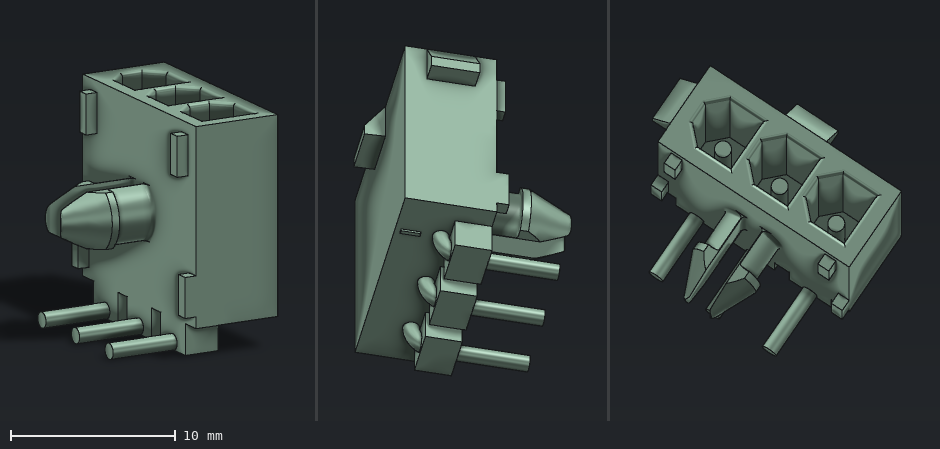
import cadquery as cq
import math


circuits = 3
pitch = 4.14
housing_width = 13.99
housing_depth = 5.7
housing_height = 12.7
mid_depth = housing_depth / 2

cavity_size = 3.5
cavity_corner = 1.07
cavity_depth = 10.7
mouth_round = 0.25
cavity_floor = housing_height - cavity_depth

foot_width = 3.07
foot_depth = 2.3
foot_height = 2.01

pin_diameter = 1.03
pin_radius = pin_diameter / 2
pin_bend_radius = foot_height - pin_radius
pin_rise = 5.0
pin_tail = 4.45

latch_width = 3.0
latch_reach = 1.3
latch_slope_height = 1.82
latch_outer_height = 2.57
latch_inner_height = 2.5

rib_width = 0.8
rib_length = 2.58
rib_reach = 0.76
rib_end_gap = 0.74
upper_rib_inset = 0.98

mark_width = 0.25
mark_length = 1.22
mark_height = 0.15
mark_back_gap = 0.36

peg_height = 5.87
peg_length = 6.0
peg_flat_height = 3.56
peg_slot_width = 1.48
shaft_radius = 1.94
root_round = 0.25
collar_radius = 2.32
collar_start = 2.68
collar_end = 3.19
collar_round = 0.12
cone_half_angle = math.radians(23.7)
tip_round = 0.25

arc_sag = 1 - math.sqrt(0.5)

pin_positions = [(i - (circuits - 1) / 2) * pitch for i in range(circuits)]


def block(x_start, y_start, z_start, width, depth, height):
    """Box given by its lowest corner and its size."""
    return cq.Workplane("XY").box(width, depth, height, centered=False).translate((x_start, y_start, z_start))


def make_housing():
    return block(-housing_width / 2, 0, 0, housing_width, housing_depth, housing_height)


def make_cavity(x):
    """Square pocket with its two left corners cut off."""
    half = cavity_size / 2
    straight = half - cavity_corner
    outline = [
        (half, -half),
        (half, half),
        (-straight, half),
        (-half, straight),
        (-half, -straight),
        (-straight, -half),
    ]
    sketch = cq.Workplane("XY", origin=(x, mid_depth, cavity_floor)).polyline(outline).close()
    return sketch.extrude(cavity_depth)


def cut_cavities(body):
    """Sink one cavity per circuit and round all the mouths."""
    for x in pin_positions:
        body = body.cut(make_cavity(x))
    mouths = body.faces(">Z").val().innerWires()
    mouth_edges = [edge for mouth in mouths for edge in mouth.Edges()]
    return body.newObject(mouth_edges).fillet(mouth_round)


def make_foot(x):
    return block(x - foot_width / 2, 0, -foot_height, foot_width, foot_depth, foot_height)


def make_pin(x):
    """Round wire rising in the cavity, bent once and leaving through the foot."""
    path = (
        cq.Workplane("YZ", origin=(x, 0, 0))
        .moveTo(mid_depth, cavity_floor + pin_rise)
        .lineTo(mid_depth, 0)
        .threePointArc(
            (mid_depth - pin_bend_radius * arc_sag, -pin_bend_radius * (1 - arc_sag)),
            (mid_depth - pin_bend_radius, -pin_bend_radius),
        )
        .lineTo(-pin_tail, -pin_bend_radius)
    )
    start = cq.Workplane("XY", origin=(x, mid_depth, cavity_floor + pin_rise))
    return start.circle(pin_radius).sweep(path)


def make_latch(plane, face_position, outward, middle):
    """Wedge hanging from the top edge of a side face."""
    tip = face_position + outward * latch_reach
    outline = [
        (face_position, housing_height),
        (tip, housing_height - latch_slope_height),
        (tip, housing_height - latch_outer_height),
        (face_position, housing_height - latch_inner_height),
    ]
    return cq.Workplane(plane, origin=middle).polyline(outline).close().extrude(latch_width / 2, both=True)


def make_ribs():
    """One upper, inset rib and one lower, flush rib on each side."""
    upper_start = housing_height - rib_end_gap - rib_length
    ribs = []
    for inset, z_start in ((upper_rib_inset, upper_start), (0, rib_end_gap)):
        left = -housing_width / 2 + inset
        for x_start in (left, -left - rib_width):
            ribs.append(block(x_start, -rib_reach, z_start, rib_width, rib_reach, rib_length))
    return ribs


def make_mark():
    y_start = housing_depth - mark_back_gap - mark_length
    x_start = pin_positions[0] - mark_width / 2
    return block(x_start, y_start, -mark_height, mark_width, mark_length, mark_height)


def make_peg_solid():
    """Turned peg: flared root, shaft, collar and a blunt cone with a rounded end."""
    tip_radius = collar_radius - (peg_length - collar_end) * math.tan(cone_half_angle)
    tip_setback = tip_round * math.tan((math.pi / 2 - cone_half_angle) / 2)
    tip_centre = (tip_radius - tip_setback, -peg_length + tip_round)
    cone_end = (
        tip_centre[0] + tip_round * math.cos(cone_half_angle),
        tip_centre[1] - tip_round * math.sin(cone_half_angle),
    )
    round_angle = (math.pi / 2 + cone_half_angle) / 2
    round_middle = (
        tip_centre[0] + tip_round * math.cos(round_angle),
        tip_centre[1] - tip_round * math.sin(round_angle),
    )
    profile = (
        cq.Workplane("XY")
        .lineTo(shaft_radius + root_round, 0)
        .threePointArc(
            (shaft_radius + root_round * arc_sag, -root_round * arc_sag),
            (shaft_radius, -root_round),
        )
        .lineTo(shaft_radius, -collar_start + collar_round)
        .threePointArc(
            (shaft_radius + collar_round * arc_sag, -collar_start + collar_round * arc_sag),
            (shaft_radius + collar_round, -collar_start),
        )
        .lineTo(collar_radius, -collar_start)
        .lineTo(collar_radius, -collar_end)
        .lineTo(*cone_end)
        .threePointArc(round_middle, (tip_centre[0], -peg_length))
        .lineTo(0, -peg_length)
        .close()
    )
    return profile.revolve(360, (0, 0), (0, 1))


def make_peg_slot():
    """Slot between the two prongs, narrowing at the root and flaring at the tip."""
    half = peg_slot_width / 2
    profile = (
        cq.Workplane("XY")
        .lineTo(half - root_round, 0)
        .threePointArc((half - root_round * arc_sag, -root_round * arc_sag), (half, -root_round))
        .lineTo(half, -peg_length + tip_round)
        .threePointArc(
            (half + tip_round * arc_sag, -peg_length + tip_round * arc_sag),
            (half + tip_round, -peg_length),
        )
        .lineTo(0, -peg_length)
        .close()
    )
    right_half = profile.extrude(peg_flat_height, both=True)
    return right_half.union(right_half.mirror("YZ"))


def make_peg():
    """Split peg with flat top and bottom, leaving the board-side face."""
    flats = block(
        -collar_radius, -peg_length, -peg_flat_height / 2, 2 * collar_radius, peg_length, peg_flat_height
    )
    peg = make_peg_solid().intersect(flats).cut(make_peg_slot())
    return peg.translate((0, 0, peg_height))


body = cut_cavities(make_housing())
for pin_x in pin_positions:
    body = body.union(make_foot(pin_x)).union(make_pin(pin_x))
body = body.union(make_latch("XZ", -housing_width / 2, -1, (0, mid_depth, 0)))
body = body.union(make_latch("YZ", housing_depth, 1, (0, 0, 0)))
for rib in make_ribs():
    body = body.union(rib)
body = body.union(make_mark())
result = body.union(make_peg())